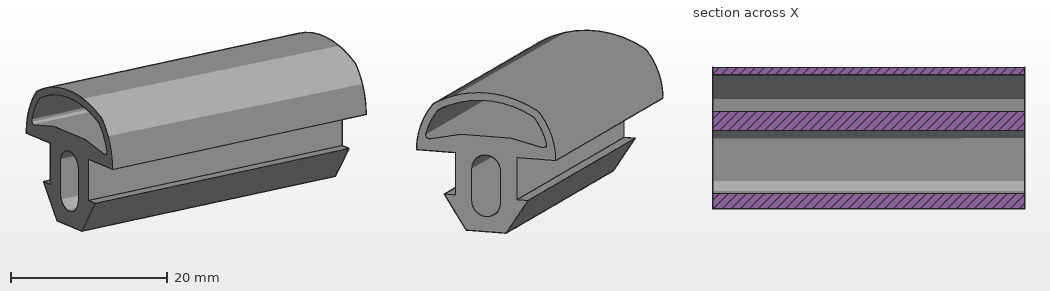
import cadquery as cq
import math

length = 40.0
width = 19.0
height = 18.2

flange_z = 10.05
side_radius = width / 2
crown_radius = 14.3
shoulder_radius = 1.6
wall = 1.0

floor_z = 12.5
floor_half_width = 3.4
floor_slope = 12.0
corner_radius = 0.5

stem_half_width = 4.2
barb_z = 4.5
barb_half_width = 5.7
foot_half_width = 2.7

slot_width = 3.9
slot_bottom_z = 2.0


def section():
    """XZ workplane at one end; extruding by length centres the part on Y = 0."""
    return cq.Workplane("XZ", origin=(0, length / 2, 0))


def extrude_outline(points):
    return section().polyline(points).close().extrude(length)


def mirrored(right_half):
    """Complete an outline from its right half, listed bottom to top."""
    return right_half + [(-x, z) for x, z in reversed(right_half)]


def dome(inset, lower_outline):
    """Space under the crown and side arcs, moved inwards by inset, above a lower outline."""
    crown = section().center(0, height - crown_radius).circle(crown_radius - inset).extrude(length)
    sides = section().center(0, flange_z).circle(side_radius - inset).extrude(length)
    body = crown.intersect(sides).intersect(extrude_outline(lower_outline))
    shoulder_edges = cq.selectors.BoxSelector(
        (-width, -length, (floor_z + height) / 2 - inset),
        (width, length, height),
    )
    return body.edges("|Y").edges(shoulder_edges).fillet(shoulder_radius - inset)


def head():
    return dome(0, mirrored([(width, flange_z), (width, height)]))


def hollow():
    floor_drop = (width - floor_half_width) * math.tan(math.radians(floor_slope))
    floor_outline = mirrored([
        (floor_half_width, floor_z),
        (width, floor_z - floor_drop),
        (width, height),
    ])
    body = dome(wall, floor_outline)
    lower_corners = cq.selectors.BoxSelector((-width, -length, 0), (width, length, floor_z - corner_radius))
    return body.edges("|Y").edges(lower_corners).fillet(corner_radius)


def stem():
    return extrude_outline(mirrored([
        (foot_half_width, 0),
        (barb_half_width, barb_z),
        (stem_half_width, barb_z),
        (stem_half_width, flange_z),
    ]))


def slot():
    slot_height = flange_z - slot_bottom_z
    slot_middle_z = (flange_z + slot_bottom_z) / 2
    return section().center(0, slot_middle_z).slot2D(slot_height, slot_width, 90).extrude(length)


result = head().cut(hollow()).union(stem()).cut(slot())